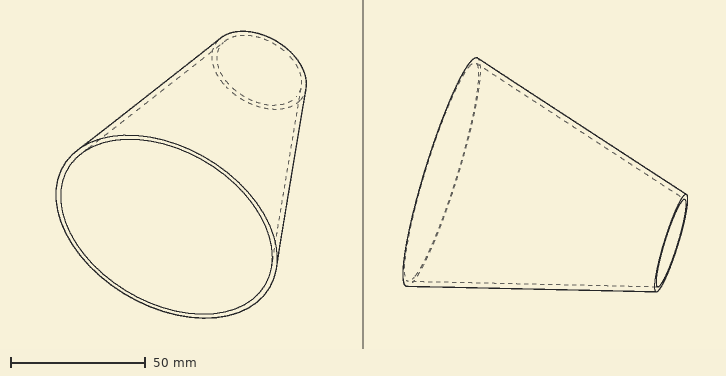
import cadquery as cq

length = 90.0
wide_diameter = 88.9
narrow_diameter = 38.0
wall = 2.0

wide_radius = wide_diameter / 2
narrow_radius = narrow_diameter / 2

wall_section = cq.Workplane("XY").polyline([
    (wide_radius - wall, 0),
    (wide_radius, 0),
    (narrow_radius, length),
    (narrow_radius - wall, length),
]).close()

result = wall_section.revolve(360, (0, 0, 0), (0, 1, 0))